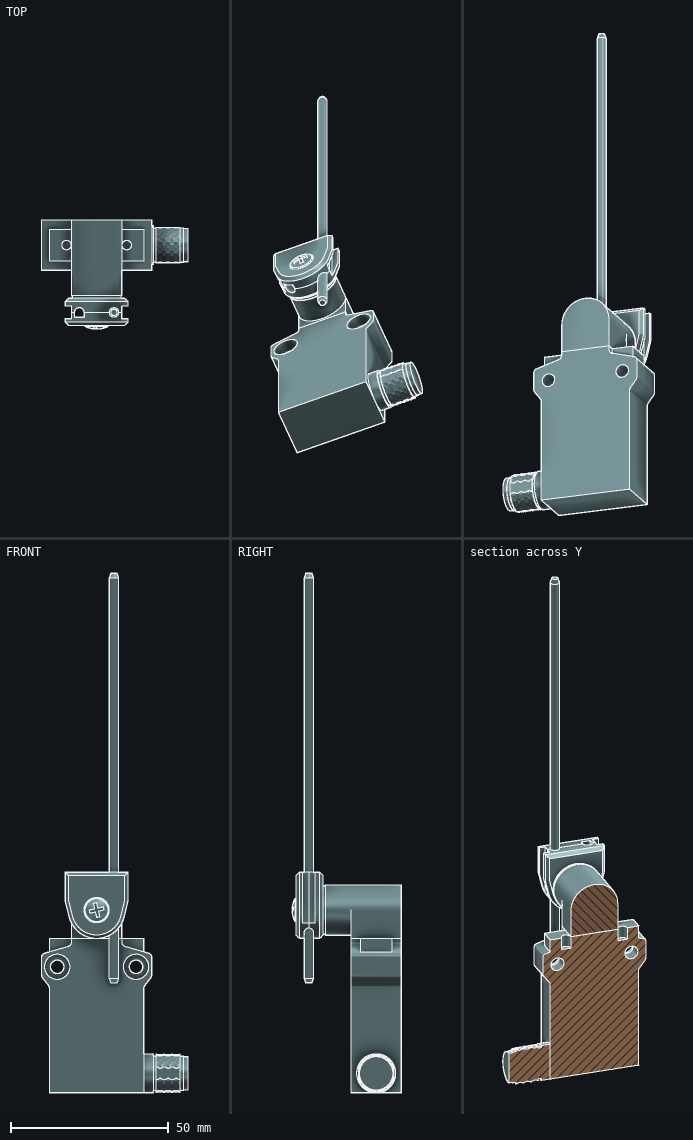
import cadquery as cq
import math


body_width = 30.0
body_depth = 16.0
body_top = 49.0
neck_width = 16.0
ear_span = 35.0
ear_tip_z = 44.05
ear_slope = 15.8
ear_bottom_z = 36.9
ear_root_z = 33.7
ear_top_round = 1.3
neck_round = 1.5
ear_bottom_round = 1.7
hole_spacing = 25.0
hole_z = 40.0
hole_diameter = 4.2
counterbore_diameter = 8.0
counterbore_depth = 4.0
tab_depth = 10.0
tab_hole_x = 9.55
tab_hole_diameter = 3.0
tab_hole_depth = 4.0

axis_z = 58.0
barrel_length = 24.0
shoulder_length = 0.8
shoulder_diameter = 15.5

clamp_width = 20.0
clamp_top = 70.0
clamp_thickness = 8.7
back_clamp_thickness = 4.55
clamp_round = 9.0
clamp_straight_z = 60.9
clamp_chamfer = 1.1
clamp_back_y = -(barrel_length + shoulder_length)
split_y = clamp_back_y - back_clamp_thickness
clamp_front_y = clamp_back_y - clamp_thickness
web_width = 16.0
groove_height = 4.0

rod_diameter = 3.0
rod_x = 5.5
rod_bottom = 34.86
rod_length = 130.0
rod_tip_length = 1.5
rod_tip_inset = 0.5

overall_depth = 34.7
head_diameter = 7.3
head_recess_diameter = 8.0
head_recess_depth = 0.8
head_rim = 0.3
head_height = overall_depth + clamp_front_y
shank_diameter = 4.0
back_wall = 1.5
shank_end_y = clamp_back_y - back_wall
cross_span = 4.6
cross_width = 1.0
cross_depth = 1.3
cross_turn = 13.0

plug_y = -body_depth / 2
plug_z = 6.2
collar_diameter = 12.4
plug_diameter = 11.0
plug_tip_diameter = 10.6
plug_flats = 11.2
knurl_diameter = 12.2
knurl_depth = 0.4
knurl_ribs = 20
knurl_layers = 6
collar_end = 18.0
knurl_start = 18.9
knurl_end = 26.5
plug_tip_start = 27.6
plug_end = 29.0


def y_prism(sketch, y_from, y_to):
    """Extrude an outline drawn on the XZ plane between two Y positions."""
    return sketch.extrude(y_from - y_to).translate((0, y_from, 0))


def y_cylinder(x, z, diameter, y_from, y_to):
    return y_prism(cq.Workplane("XZ").center(x, z).circle(diameter / 2), y_from, y_to)


def box(x_range, y_range, z_range):
    size = [high - low for low, high in (x_range, y_range, z_range)]
    corner = (x_range[0], y_range[0], z_range[0])
    return cq.Workplane("XY").box(*size, centered=False).translate(corner)


def round_corners(body, x, z, radius):
    """Round the two front-to-back edges at (x, z) and (-x, z)."""
    reach = 0.2
    for side in (-1, 1):
        near_edge = cq.selectors.BoxSelector(
            (side * x - reach, -body_depth, z - reach), (side * x + reach, 0, z + reach)
        )
        body = body.edges(near_edge).fillet(radius)
    return body


def make_housing():
    slope_rise = math.tan(math.radians(ear_slope)) * (ear_span - neck_width) / 2
    neck_root_z = ear_tip_z + slope_rise
    half_outline = [
        (body_width / 2, 0),
        (body_width / 2, ear_root_z),
        (ear_span / 2, ear_bottom_z),
        (ear_span / 2, ear_tip_z),
        (neck_width / 2, neck_root_z),
        (neck_width / 2, body_top),
    ]
    mirrored = [(-x, z) for x, z in reversed(half_outline)]
    block = y_prism(cq.Workplane("XZ").polyline(half_outline + mirrored).close(), 0, -body_depth)

    block = round_corners(block, ear_span / 2, ear_tip_z, ear_top_round)
    block = round_corners(block, neck_width / 2, neck_root_z, neck_round)
    block = round_corners(block, ear_span / 2, ear_bottom_z, ear_bottom_round)
    block = round_corners(block, body_width / 2, ear_root_z, ear_bottom_round)

    tab_front = -(body_depth + tab_depth) / 2
    block = block.union(
        box((-body_width / 2, body_width / 2), (tab_front, tab_front + tab_depth), (hole_z, body_top))
    )
    for side in (-1, 1):
        x = side * hole_spacing / 2
        block = block.cut(y_cylinder(x, hole_z, hole_diameter, 0, -body_depth))
        block = block.cut(
            y_cylinder(x, hole_z, counterbore_diameter, counterbore_depth - body_depth, -body_depth)
        )
        tab_hole = cq.Workplane("XY").circle(tab_hole_diameter / 2).extrude(-tab_hole_depth)
        block = block.cut(tab_hole.translate((side * tab_hole_x, -body_depth / 2, body_top)))
    return block


def make_head():
    barrel = y_cylinder(0, axis_z, neck_width, 0, -barrel_length)
    shoulder = y_cylinder(0, axis_z, shoulder_diameter, 0, clamp_back_y)
    half = neck_width / 2
    neck = box((-half, half), (-body_depth, 0), (body_top, axis_z))
    return barrel.union(shoulder).union(neck)


def clamp_outline():
    """Straight-sided plate whose sides lean in, tangent to a round lower end."""
    half = clamp_width / 2
    rise = clamp_straight_z - axis_z
    lean = math.atan2(rise, half) - math.acos(clamp_round / math.hypot(half, rise))
    tangent_x = clamp_round * math.cos(lean)
    tangent_z = axis_z + clamp_round * math.sin(lean)
    return (
        cq.Workplane("XZ")
        .moveTo(-half, clamp_top)
        .lineTo(half, clamp_top)
        .lineTo(half, clamp_straight_z)
        .lineTo(tangent_x, tangent_z)
        .threePointArc((0, axis_z - clamp_round), (-tangent_x, tangent_z))
        .lineTo(-half, clamp_straight_z)
        .close()
    )


def make_clamp_half(outer_y):
    half = y_prism(clamp_outline(), max(outer_y, split_y), min(outer_y, split_y))
    outer_face = ">Y" if outer_y > split_y else "<Y"
    half = half.faces(outer_face).edges().chamfer(clamp_chamfer)
    groove_y = (split_y - groove_height / 2, split_y + groove_height / 2)
    for x_range in ((-clamp_width, -web_width / 2), (web_width / 2, clamp_width)):
        half = half.cut(box(x_range, groove_y, (0, clamp_top)))
    shank_hole = y_cylinder(0, axis_z, shank_diameter, shank_end_y, clamp_front_y)
    return half.cut(shank_hole)


def rod_groove(x):
    """Cutter for a round rod passage centred on the split."""
    bore = cq.Workplane("XY").circle(rod_diameter / 2).extrude(clamp_top)
    return bore.translate((x, split_y, 0))


def make_back_clamp():
    half = make_clamp_half(clamp_back_y)
    for x in (-rod_x, rod_x):
        half = half.cut(rod_groove(x))
    return half


def make_front_clamp():
    """The spare groove on the -X side is square; the other fits the rod."""
    half = make_clamp_half(clamp_front_y).cut(rod_groove(rod_x))
    radius = rod_diameter / 2
    half = half.cut(box((-rod_x - radius, -rod_x + radius), (split_y - radius, split_y), (0, clamp_top)))
    recess_floor = clamp_front_y + head_recess_depth
    return half.cut(y_cylinder(0, axis_z, head_recess_diameter, recess_floor, clamp_front_y))


def make_rod():
    radius = rod_diameter / 2
    profile = [
        (0, 0),
        (radius - rod_tip_inset, 0),
        (radius, rod_tip_length),
        (radius, rod_length - rod_tip_length),
        (radius - rod_tip_inset, rod_length),
        (0, rod_length),
    ]
    rod = cq.Workplane("XZ").polyline(profile).close().revolve(360, (0, 0), (0, 1))
    return rod.translate((rod_x, split_y, rod_bottom))


def make_screw():
    """Domed cross-recess screw, modelled along Z and then turned to face -Y."""
    seat = -head_recess_depth
    radius = head_diameter / 2
    dome_height = head_height - head_rim
    dome_radius = (radius ** 2 + dome_height ** 2) / (2 * dome_height)
    mid_x = radius / 2
    mid_z = head_height - dome_radius + math.sqrt(dome_radius ** 2 - mid_x ** 2)
    head = (
        cq.Workplane("XZ")
        .moveTo(0, seat)
        .lineTo(radius, seat)
        .lineTo(radius, head_rim)
        .threePointArc((mid_x, mid_z), (0, head_height))
        .close()
        .revolve(360, (0, 0), (0, 1))
    )
    shank_length = shank_end_y - clamp_front_y + seat
    shank = cq.Workplane("XY").circle(shank_diameter / 2).extrude(-shank_length).translate((0, 0, seat))
    screw = head.union(shank)
    for turn in (cross_turn, cross_turn + 90):
        slot = cq.Workplane("XY").rect(cross_span, cross_width).extrude(-cross_depth)
        screw = screw.cut(slot.rotate((0, 0, 0), (0, 0, 1), turn).translate((0, 0, head_height)))
    return screw.rotate((0, 0, 0), (1, 0, 0), 90).translate((0, clamp_front_y, axis_z))


def x_cylinder(diameter, x_from, x_to):
    return cq.Workplane("YZ").circle(diameter / 2).extrude(x_to - x_from).translate((x_from, 0, 0))


def knurl_section(x, first_step):
    """Star-shaped ring of alternating crests and roots; first_step picks which comes first."""
    crest = knurl_diameter / 2
    points = []
    for step in range(2 * knurl_ribs):
        radius = crest if (step + first_step) % 2 == 0 else crest - knurl_depth
        angle = math.pi * step / knurl_ribs
        points.append(cq.Vector(x, radius * math.cos(angle), radius * math.sin(angle)))
    return cq.Wire.makePolygon(points, close=True)


def make_grip():
    """Ring about the X axis, knurled with staggered diamonds, with flats on its -Y and +Y sides."""
    pitch = (knurl_end - knurl_start) / knurl_layers
    sections = [knurl_section(knurl_start + layer * pitch, layer) for layer in range(knurl_layers + 1)]
    ring = cq.Workplane(cq.Solid.makeLoft(sections, True))
    flats = cq.Workplane("XY").box(2 * plug_end, plug_flats, 2 * knurl_diameter)
    return ring.intersect(flats)


def make_connector():
    plug = x_cylinder(collar_diameter, body_width / 2, collar_end)
    plug = plug.union(x_cylinder(plug_diameter, collar_end, plug_tip_start))
    plug = plug.union(x_cylinder(plug_tip_diameter, plug_tip_start, plug_end))
    plug = plug.union(make_grip())
    return plug.translate((0, plug_y, plug_z))


housing = make_housing()
head = make_head()
back_clamp = make_back_clamp()
front_clamp = make_front_clamp()
rod = make_rod()
screw = make_screw()
connector = make_connector()

result = cq.Compound.makeCompound([
    housing.val(),
    head.val(),
    back_clamp.val(),
    front_clamp.val(),
    rod.val(),
    screw.val(),
    connector.val(),
])